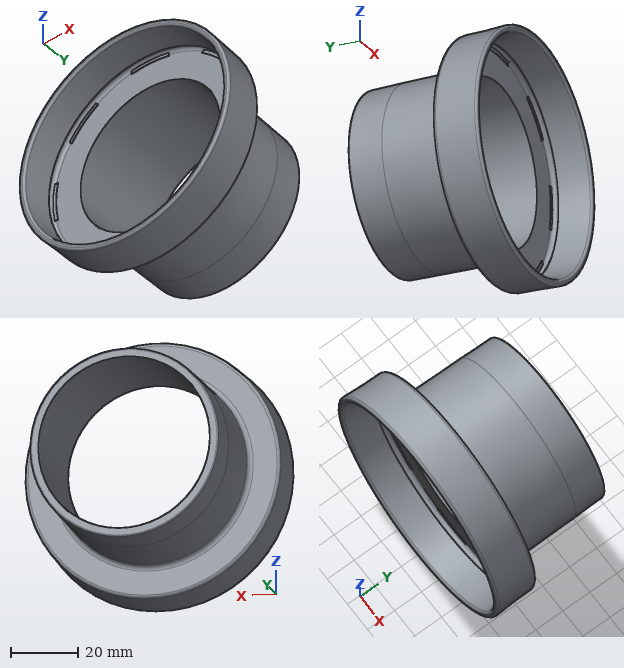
import cadquery as cq
import math

flange_radius = 39.65
flange_length = 14.9
flange_draft = 2.0
lip_fillet = 0.8
flange_back_fillet = 0.95
rim_mouth_radius = 37.5
rim_bottom_radius = 36.55

floor_depth = 12.85
floor_radius = 36.1
groove_radius = 1.1

total_length = 48.05
tube_base_radius = 29.4
tube_middle_radius = 29.1
tube_end_radius = 28.9
tube_end_band = 11.25
tube_base_fillet = 1.5
tube_end_fillet = 0.4
bore_radius = 26.3

pad_count = 8
pad_inner_radius = 35.45
pad_width = 14.1
pad_height = 0.12
pad_embed = 0.8

tolerance = 0.01

draft_angle = math.radians(flange_draft)
draft_slope = math.tan(draft_angle)

corner_overhang = lip_fillet * (1 / math.cos(draft_angle) + draft_slope - 1)
rim_corner_radius = flange_radius + corner_overhang
flange_back_radius = rim_corner_radius - flange_length * draft_slope

groove_center_depth = floor_depth - groove_radius
groove_outer_radius = floor_radius + groove_radius
rim_wall_depth = groove_center_depth - math.sqrt(
    groove_radius**2 - (rim_bottom_radius - floor_radius) ** 2
)

rim_wall_slope = (rim_mouth_radius - rim_bottom_radius) / (rim_wall_depth - lip_fillet)
rim_edge_radius = rim_mouth_radius + lip_fillet * rim_wall_slope


def round_edge(solid, radius, y, fillet_radius):
    """Fillet the circular edge of the given radius at height y."""

    def is_wanted(edge):
        return abs(edge.radius() - radius) < tolerance and abs(edge.Center().y - y) < tolerance

    return solid.edges("%CIRCLE").filter(is_wanted).fillet(fillet_radius)


def make_body():
    """Flange and tube as one revolved outline, drawn with Y across and radius up."""
    body = (
        cq.Workplane("YZ")
        .moveTo(floor_depth, bore_radius)
        .lineTo(floor_depth, floor_radius)
        .threePointArc((groove_center_depth, groove_outer_radius), (rim_wall_depth, rim_bottom_radius))
        .lineTo(0, rim_edge_radius)
        .lineTo(0, rim_corner_radius)
        .lineTo(flange_length, flange_back_radius)
        .lineTo(flange_length, tube_base_radius)
        .lineTo(total_length - tube_end_band, tube_middle_radius)
        .lineTo(total_length, tube_end_radius)
        .lineTo(total_length, bore_radius)
        .close()
        .revolve(360, (0, 0, 0), (1, 0, 0))
    )
    body = round_edge(body, rim_corner_radius, 0, lip_fillet)
    body = round_edge(body, rim_edge_radius, 0, lip_fillet)
    body = round_edge(body, flange_back_radius, flange_length, flange_back_fillet)
    body = round_edge(body, tube_base_radius, flange_length, tube_base_fillet)
    return round_edge(body, tube_end_radius, total_length, tube_end_fillet)


def make_pads():
    """Thin parallel-sided stretches of a ring on the recess floor, running into the groove."""
    ring_outer_radius = groove_outer_radius + pad_embed
    base_plane = cq.Workplane("XZ", origin=(0, floor_depth + pad_embed, 0))
    ring = (
        base_plane.circle(ring_outer_radius)
        .circle(pad_inner_radius)
        .extrude(pad_height + pad_embed)
    )
    bars = (
        base_plane.polarArray(pad_inner_radius, 0, 360, pad_count)
        .rect(2 * (ring_outer_radius - pad_inner_radius), pad_width)
        .extrude(pad_height + pad_embed)
    )
    return ring.intersect(bars)


result = make_body().union(make_pads())